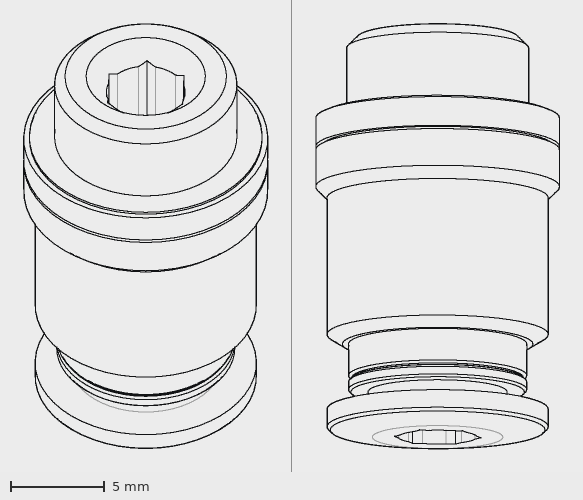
import cadquery as cq
import math

height = 21.6
cap_radius = 9.72 / 2
collar_radius = 13.0 / 2
lip_radius = 12.4 / 2
body_radius = 11.8 / 2
sleeve_radius = 9.5 / 2
neck_radius = 7.4 / 2

lip_top = 17.39
collar_top = 17.25
groove_top = 15.7
groove_bottom = 15.53
collar_bottom = 12.94
body_bottom = 5.03
sleeve_bottom = 3.33
ring_top = 3.1
ring_bottom = 2.45
flange_top = 1.51
flange_edge = 0.56
face_edge = 0.39

cap_chamfer = 0.56
collar_chamfer = collar_radius - body_radius
body_chamfer_width = 0.82
body_chamfer_height = 0.52
ring_chamfer = 0.13
ring_groove_radius = 4.58
neck_fillet = 0.35
flange_chamfer = flange_edge - face_edge
bottom_face_radius = 3.48

socket_flats = 4.0
relief_radius = 2.1
mouth_radius = 3.18
mouth_depth = mouth_radius


def make_body():
    """Revolve the outer profile, given as (radius, level) from bottom to top."""
    foot = [
        (0, 0),
        (bottom_face_radius, 0),
        (body_radius - flange_chamfer, face_edge),
        (body_radius, flange_edge),
        (body_radius, flange_top),
        (neck_radius + neck_fillet, flange_top),
    ]
    fillet_offset = neck_fillet * (1 - math.sqrt(0.5))
    fillet_middle = (neck_radius + fillet_offset, flange_top + fillet_offset)
    fillet_end = (neck_radius, flange_top + neck_fillet)
    upper = [
        (neck_radius, ring_bottom),
        (sleeve_radius - ring_chamfer, ring_bottom),
        (sleeve_radius, ring_bottom + ring_chamfer),
        (sleeve_radius, ring_top - ring_chamfer),
        (sleeve_radius - ring_chamfer, ring_top),
        (ring_groove_radius, ring_top),
        (ring_groove_radius, sleeve_bottom - ring_chamfer),
        (sleeve_radius, sleeve_bottom),
        (sleeve_radius, body_bottom),
        (body_radius - body_chamfer_width, body_bottom),
        (body_radius, body_bottom + body_chamfer_height),
        (body_radius, collar_bottom),
        (collar_radius, collar_bottom + collar_chamfer),
        (collar_radius, groove_bottom),
        (lip_radius, groove_bottom),
        (lip_radius, groove_top),
        (collar_radius, groove_top),
        (collar_radius, collar_top),
        (lip_radius, collar_top),
        (lip_radius, lip_top),
        (cap_radius, lip_top),
        (cap_radius, height - cap_chamfer),
        (cap_radius - cap_chamfer, height),
        (0, height),
    ]
    outline = cq.Workplane("XZ").polyline(foot).threePointArc(fillet_middle, fillet_end)
    for point in upper:
        outline = outline.lineTo(*point)
    return outline.close().revolve(360, (0, 0), (0, 1))


def make_socket():
    """Through passage: hexagon with corners on the Y axis, joined to a round bore."""
    corner_diameter = socket_flats / math.cos(math.pi / 6)
    hexagon = (
        cq.Workplane("XY")
        .transformed(rotate=(0, 0, 90))
        .polygon(6, corner_diameter)
        .extrude(height)
    )
    relief = cq.Workplane("XY").circle(relief_radius).extrude(height)
    return hexagon.union(relief)


def make_mouth():
    """Conical lead-in at the top of the socket."""
    return (
        cq.Workplane("XZ")
        .polyline([(0, height - mouth_depth), (mouth_radius, height), (0, height)])
        .close()
        .revolve(360, (0, 0), (0, 1))
    )


result = make_body().cut(make_socket()).cut(make_mouth())